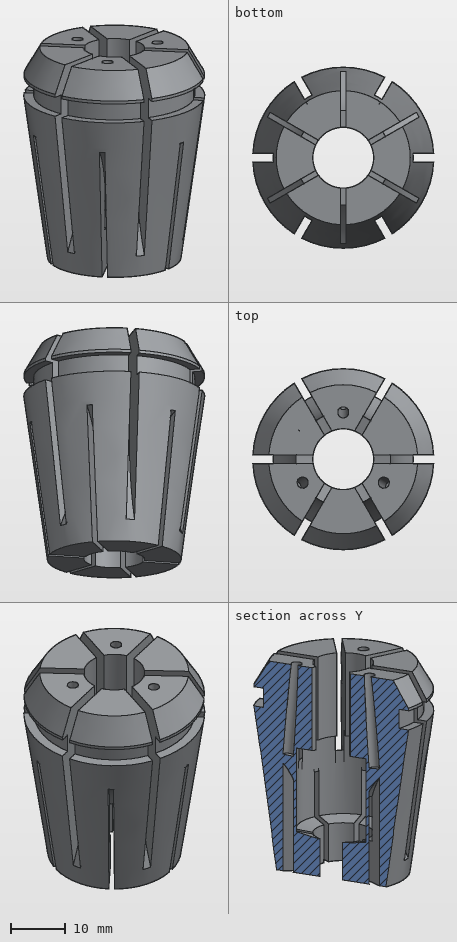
import cadquery as cq
import math

total_height = 40.0
bottom_radius = 12.2
cone_top_diameter = 33.0
cone_top_radius = cone_top_diameter / 2
cone_top_z = 30.9
groove_radius = 14.7
groove_top_z = 34.5
rim_radius = 16.45
rim_top_z = 35.1
nose_radius = 13.55

bore_radius = 5.5
chamber_radius = 8.6
chamber_top_z = 24.0
chamber_floor_z = 8.0
chamber_floor_slope = 13.0

slots_per_end = 6
slot_pitch = 360.0 / slots_per_end
nose_slot_width = 1.55
nose_slot_outer_z = 4.0
nose_slot_inner_z = 20.2
nose_blade_radius = 38.0
tail_slot_width = 1.0
tail_slot_outer_z = 24.95
tail_slot_inner_z = 16.6
tail_blade_radius = 16.8
slot_reach = 20.0

hole_count = 3
hole_diameter = 2.0
hole_circle_radius = 8.5
hole_tilt = 5.0
hole_depth = 17.6


def cone_radius(z):
    """Outer radius of the long cone at height z."""
    return bottom_radius + (cone_top_radius - bottom_radius) * z / cone_top_z


def make_body():
    """Cone, locking groove and tapered nose as one turned shape."""
    profile = [
        (0, 0),
        (bottom_radius, 0),
        (cone_top_radius, cone_top_z),
        (groove_radius, cone_top_z),
        (groove_radius, groove_top_z),
        (rim_radius, groove_top_z),
        (rim_radius, rim_top_z),
        (nose_radius, total_height),
        (0, total_height),
    ]
    return cq.Workplane("XZ").polyline(profile).close().revolve(360, (0, 0), (0, 1))


def make_bore():
    """Through bore with the relief chamber and its conical floor."""
    floor_drop = (chamber_radius - bore_radius) * math.tan(math.radians(chamber_floor_slope))
    profile = [
        (0, 0),
        (bore_radius, 0),
        (bore_radius, chamber_floor_z - floor_drop),
        (chamber_radius, chamber_floor_z),
        (chamber_radius, chamber_top_z),
        (bore_radius, chamber_top_z),
        (bore_radius, total_height),
        (0, total_height),
    ]
    return cq.Workplane("XZ").polyline(profile).close().revolve(360, (0, 0), (0, 1))


def make_slot(width, outer_z, inner_z, open_z, blade_radius):
    """Slot along +X, open at open_z, whose curved end runs from the cone surface to the chamber wall."""
    outer = (cone_radius(outer_z), outer_z)
    inner = (chamber_radius, inner_z)
    sweep = -blade_radius if outer_z < inner_z else blade_radius
    return (
        cq.Workplane("XZ")
        .moveTo(0, open_z)
        .lineTo(0, inner_z)
        .lineTo(*inner)
        .radiusArc(outer, sweep)
        .lineTo(slot_reach, outer_z)
        .lineTo(slot_reach, open_z)
        .close()
        .extrude(width / 2, both=True)
    )


def make_hole():
    """Coolant hole on the +Y side, leaning outward as it goes down."""
    return (
        cq.Workplane("XY")
        .circle(hole_diameter / 2)
        .extrude(hole_depth, both=True)
        .rotate((0, 0, 0), (1, 0, 0), hole_tilt)
        .translate((0, hole_circle_radius, total_height))
    )


def turned(shape, angle):
    """Shape turned about the collet axis."""
    return shape.rotate((0, 0, 0), (0, 0, 1), angle)


nose_slot = make_slot(
    nose_slot_width, nose_slot_outer_z, nose_slot_inner_z, total_height, nose_blade_radius
)
tail_slot = make_slot(tail_slot_width, tail_slot_outer_z, tail_slot_inner_z, 0, tail_blade_radius)
hole = make_hole()

result = make_body().cut(make_bore())
for index in range(slots_per_end):
    result = result.cut(turned(nose_slot, index * slot_pitch))
    result = result.cut(turned(tail_slot, (index + 0.5) * slot_pitch))
for index in range(hole_count):
    result = result.cut(turned(hole, index * 360.0 / hole_count))